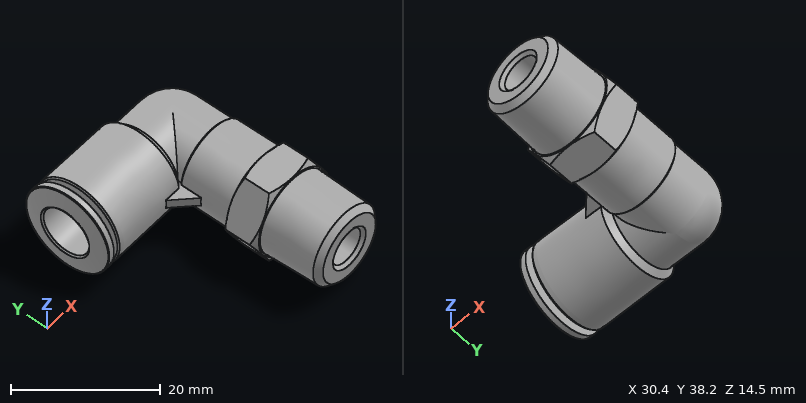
import cadquery as cq
import math


elbow_radius = 6.2

hex_flats = 14.05
hex_corner_radius = hex_flats / 2 / math.cos(math.radians(30))
hex_top = 15.4
hex_bottom = 20.95
hex_chamfer_angle = 30.0
hex_chamfer_radius = hex_flats / 2 - 0.05

total_width = 30.35
total_length = 38.15
collar_radius = 14.5 / 2
socket_length = total_width - hex_corner_radius
stud_length = total_length - collar_radius

mouth_outer_radius = 4.25
collar_rim = socket_length - 0.57
collar_back = socket_length - 1.53
dome_mid_radius = 5.9
dome_mid_setback = 0.2
collar_edge_chamfer = 0.1
neck_radius = 9.35 / 2
neck_fillet = 0.35

body_front = 19.72
body_front_radius = 7.0
body_front_chamfer = 0.23
body_full = 18.7
body_radius = 14.5 / 2
body_back = 7.05
body_back_radius = 7.17
body_end = body_back - (body_back_radius - elbow_radius)

sleeve_start = 6.8
sleeve_chamfer = 0.23
sleeve_radius = 6.5
sleeve_hex_radius = 13.1 / 2
thread_root_radius = 6.7
thread_tip_radius = 6.45
thread_chamfer = 0.95

tube_radius = 7.95 / 2
tube_stop = body_back
tube_mouth_chamfer = mouth_outer_radius - tube_radius
socket_bore_radius = 6.0 / 2
stud_bore_radius = 5.8 / 2
stud_mouth_radius = 6.85 / 2

web_corner = 5.72
web_leg = 5.55
web_thickness = 1.6


def turn_about_x(outline):
    return outline.close().revolve(360, (0, 0, 0), (1, 0, 0))


def turn_about_y(outline):
    return outline.close().revolve(360, (0, 0, 0), (0, 1, 0))


def make_socket():
    """Collar, neck, socket body and the X arm of the elbow, closed by its ball corner."""
    return turn_about_x(
        cq.Workplane("XY")
        .lineTo(-socket_length, 0)
        .lineTo(-socket_length, mouth_outer_radius)
        .threePointArc(
            (-socket_length + dome_mid_setback, dome_mid_radius),
            (-collar_rim - collar_edge_chamfer, collar_radius - collar_edge_chamfer),
        )
        .lineTo(-collar_rim, collar_radius)
        .lineTo(-collar_back, collar_radius)
        .lineTo(-collar_back, neck_radius + neck_fillet)
        .radiusArc((-collar_back + neck_fillet, neck_radius), -neck_fillet)
        .lineTo(-body_front, neck_radius)
        .lineTo(-body_front, body_front_radius)
        .lineTo(-body_front + body_front_chamfer, body_front_radius + body_front_chamfer)
        .lineTo(-body_full, body_radius)
        .lineTo(-body_back, body_back_radius)
        .lineTo(-body_end, elbow_radius)
        .lineTo(0, elbow_radius)
        .radiusArc((elbow_radius, 0), elbow_radius)
    )


def make_stud():
    """Y arm of the elbow, sleeve and tapered thread."""
    return turn_about_y(
        cq.Workplane("XY")
        .lineTo(elbow_radius, 0)
        .lineTo(elbow_radius, -sleeve_start)
        .lineTo(sleeve_radius, -sleeve_start - sleeve_chamfer)
        .lineTo(sleeve_hex_radius, -hex_top)
        .lineTo(sleeve_hex_radius, -hex_bottom)
        .lineTo(thread_root_radius, -hex_bottom)
        .lineTo(thread_tip_radius, -stud_length + thread_chamfer)
        .lineTo(thread_tip_radius - thread_chamfer, -stud_length)
        .lineTo(0, -stud_length)
    )


def make_hexagon():
    """Hexagon with its corners turned off conically at both ends."""
    prism = (
        cq.Workplane("XZ", origin=(0, -hex_top, 0))
        .polygon(6, 2 * hex_corner_radius)
        .extrude(hex_bottom - hex_top)
    )
    drop = (hex_corner_radius - hex_chamfer_radius) * math.tan(math.radians(hex_chamfer_angle))
    turned_blank = turn_about_y(
        cq.Workplane("XY")
        .moveTo(0, -hex_top)
        .lineTo(hex_chamfer_radius, -hex_top)
        .lineTo(hex_corner_radius, -hex_top - drop)
        .lineTo(hex_corner_radius, -hex_bottom + drop)
        .lineTo(hex_chamfer_radius, -hex_bottom)
        .lineTo(0, -hex_bottom)
    )
    return prism.intersect(turned_blank)


def make_web():
    """Triangular web bracing the socket against the stud."""
    far = web_corner + web_leg
    return (
        cq.Workplane("XY")
        .polyline([(-web_corner, -web_corner), (-far, -web_corner), (-web_corner, -far)])
        .close()
        .extrude(web_thickness / 2, both=True)
    )


def make_socket_passage():
    """Tube bore stepping down to a passage with a ball end at the elbow."""
    return turn_about_x(
        cq.Workplane("XY")
        .moveTo(-socket_length, 0)
        .lineTo(-socket_length, mouth_outer_radius)
        .lineTo(-socket_length + tube_mouth_chamfer, tube_radius)
        .lineTo(-tube_stop, tube_radius)
        .lineTo(-tube_stop, socket_bore_radius)
        .lineTo(0, socket_bore_radius)
        .radiusArc((socket_bore_radius, 0), socket_bore_radius)
    )


def make_stud_passage():
    """Straight bore through the stud with a chamfered mouth."""
    mouth_depth = stud_mouth_radius - stud_bore_radius
    return turn_about_y(
        cq.Workplane("XY")
        .lineTo(stud_bore_radius, 0)
        .lineTo(stud_bore_radius, -stud_length + mouth_depth)
        .lineTo(stud_mouth_radius, -stud_length)
        .lineTo(0, -stud_length)
    )


outside = make_socket().union(make_stud()).union(make_hexagon()).union(make_web())
result = outside.cut(make_socket_passage()).cut(make_stud_passage())